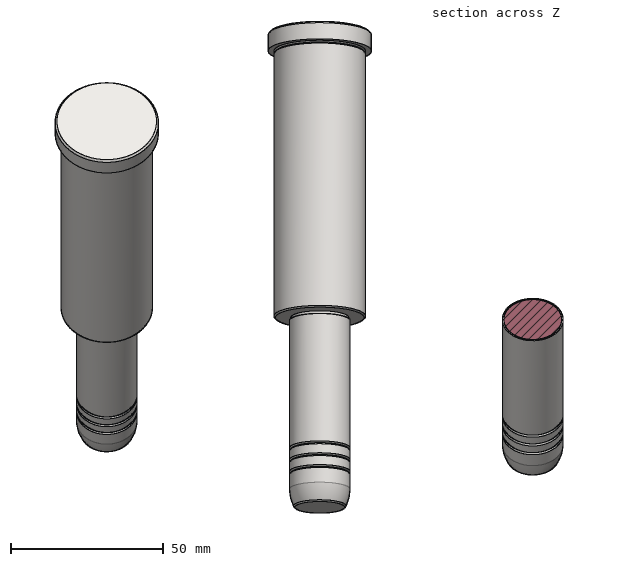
import cadquery as cq

total_length = 160.0
head_diameter = 34.0
body_diameter = 30.0
shank_diameter = 20.0

head_height = 6.0
body_bottom = 64.0
nose_height = 6.0

head_chamfer = 0.6
body_chamfer = 0.5
nose_end_diameter = 17.3
nose_bulge = 0.3
tip_chamfer = 0.5

groove_width = 1.0
relief_depth = 0.5
oil_groove_count = 3
oil_groove_pitch = 4.0
lowest_groove_center = 11.5


def cylinder(diameter, bottom, top):
    """Solid cylinder on the Z axis between two heights."""
    return cq.Workplane("XY").workplane(offset=bottom).circle(diameter / 2).extrude(top - bottom)


def relief_ring(diameter, bottom):
    """Ring that cuts a rectangular relief into a cylinder of the given diameter."""
    outer = cylinder(diameter, bottom, bottom + groove_width)
    core = cylinder(diameter - 2 * relief_depth, bottom, bottom + groove_width)
    return outer.cut(core)


def v_groove_ring(diameter, center_height):
    """Triangular ring that cuts a 90 degree V-groove into a cylinder of the given diameter."""
    surface_radius = diameter / 2
    half_width = groove_width / 2
    return (
        cq.Workplane("XZ")
        .moveTo(surface_radius - half_width, center_height)
        .lineTo(surface_radius, center_height - half_width)
        .lineTo(surface_radius, center_height + half_width)
        .close()
        .revolve(360, (0, 0, 0), (0, 1, 0))
    )


def make_nose():
    """Slightly bulged taper with a chamfered tip."""
    shank_radius = shank_diameter / 2
    end_radius = nose_end_diameter / 2
    middle_radius = (shank_radius + end_radius) / 2 + nose_bulge
    middle_height = (nose_height + tip_chamfer) / 2
    return (
        cq.Workplane("XZ")
        .lineTo(end_radius - tip_chamfer, 0)
        .lineTo(end_radius, tip_chamfer)
        .threePointArc((middle_radius, middle_height), (shank_radius, nose_height))
        .lineTo(0, nose_height)
        .close()
        .revolve(360, (0, 0, 0), (0, 1, 0))
    )


head_bottom = total_length - head_height
head = cylinder(head_diameter, head_bottom, total_length).faces(">Z").edges().chamfer(head_chamfer)
body = cylinder(body_diameter, body_bottom, head_bottom).faces("<Z").edges().chamfer(body_chamfer)
shank = cylinder(shank_diameter, nose_height, body_bottom)
result = head.union(body).union(shank).union(make_nose())

result = result.cut(v_groove_ring(body_diameter, head_bottom - groove_width / 2))
result = result.cut(relief_ring(shank_diameter, body_bottom - groove_width))

for index in range(oil_groove_count):
    groove_center = lowest_groove_center + index * oil_groove_pitch
    result = result.cut(v_groove_ring(shank_diameter, groove_center))